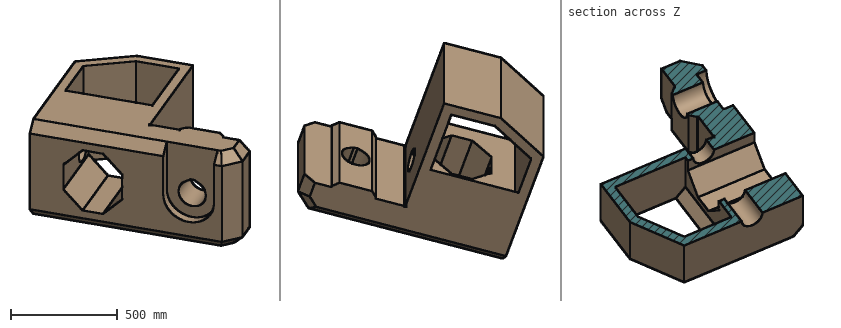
import cadquery as cq
import math

length = 1029.0
depth = 787.0
height = 508.0
mid_height = height / 2
edge_chamfer = 51.0

tower_width = 534.0
arm_depth = 179.0
relief_radius = 5.0
corner_cut = 76.0
slant_width = 255.0
slant_angle = math.radians(30)
wall = 51.0

pocket_front = 359.0
ramp_size = 51.0

window_left = 167.0
window_width = 292.0
window_height = 322.0
window_corner = 96.0

bolt_x = 788.0
bolt_diameter = 135.0
recess_width = 252.0
recess_depth = edge_chamfer
key_width = 217.0
key_depth = 35.0
key_bevel = 29.0

cross_y = 274.0
cross_diameter = 110.0

roof_angle = math.radians(30)
roof_rise = 5.0


def body():
    """L-shaped block with bevelled front and arm end edges."""
    slant_rise = slant_width * math.tan(slant_angle)
    tower = (
        cq.Workplane("XY")
        .polyline([
            (0, 0),
            (tower_width, 0),
            (tower_width, depth),
            (slant_width, depth),
            (0, depth - slant_rise),
        ])
        .close()
        .extrude(height)
    )
    arm = (
        cq.Workplane("XY")
        .polyline([
            (0, 0),
            (length - corner_cut, 0),
            (length, corner_cut),
            (length, arm_depth),
            (0, arm_depth),
        ])
        .close()
        .extrude(height)
    )
    block = tower.union(arm)
    end_bevel = cq.selectors.DirectionNthSelector(cq.Vector(1, -1, 0), -1)
    bevel_faces = block.faces("<Y or >X").add(block.faces(end_bevel))
    return bevel_faces.edges("#Z").chamfer(edge_chamfer)


def pocket():
    """Vertical opening that keeps an even wall, less the ramp on its front side."""
    right = tower_width - wall
    back = depth - wall
    shoulder_x = slant_width + wall * math.tan(slant_angle / 2)
    shoulder_y = back - (shoulder_x - wall) * math.tan(slant_angle)
    opening = (
        cq.Workplane("XY")
        .polyline([
            (wall, pocket_front),
            (right, pocket_front),
            (right, back),
            (shoulder_x, back),
            (wall, shoulder_y),
        ])
        .close()
        .extrude(height)
    )
    ramp = (
        cq.Workplane("YZ", origin=(wall, pocket_front, 0))
        .polyline([(0, 0), (ramp_size, 0), (0, ramp_size)])
        .close()
        .extrude(right - wall)
    )
    return opening.cut(ramp)


def window():
    """Tall octagonal passage from the front face to the pocket."""
    return (
        cq.Workplane("XY")
        .box(window_width, pocket_front + ramp_size, window_height, centered=(False, False, True))
        .edges("|Y")
        .chamfer(window_corner)
        .translate((window_left, 0, mid_height))
    )


def roofed_hole(plane, diameter, reach):
    """Round hole topped by two tangent slopes and a short flat."""
    radius = diameter / 2
    side_x = radius * math.sin(roof_angle)
    side_z = radius * math.cos(roof_angle)
    flat_z = radius + roof_rise
    flat_half = side_x - (flat_z - side_z) / math.tan(roof_angle)
    return (
        cq.Workplane(plane)
        .moveTo(-side_x, side_z)
        .threePointArc((0, -radius), (side_x, side_z))
        .lineTo(flat_half, flat_z)
        .lineTo(-flat_half, flat_z)
        .close()
        .extrude(reach)
    )


def recess():
    """Round-bottomed slot in the arm's front face, open at the top."""
    radius = recess_width / 2
    return (
        cq.Workplane("XZ", origin=(bolt_x, recess_depth, mid_height))
        .moveTo(-radius, height)
        .lineTo(-radius, 0)
        .threePointArc((0, -radius), (radius, 0))
        .lineTo(radius, height)
        .close()
        .extrude(recess_depth)
    )


def key():
    """Bevelled full-height rib on the back of the arm."""
    half = key_width / 2
    return (
        cq.Workplane("XY", origin=(bolt_x, arm_depth, 0))
        .polyline([
            (-half, 0),
            (half, 0),
            (half, key_depth - key_bevel),
            (half - key_bevel, key_depth),
            (key_bevel - half, key_depth),
            (-half, key_depth - key_bevel),
        ])
        .close()
        .extrude(height)
    )


def corner_relief():
    """Vertical groove in the inner corner of the L."""
    return (
        cq.Workplane("XY")
        .center(tower_width, arm_depth)
        .circle(relief_radius)
        .extrude(height)
    )


arm_back = arm_depth + key_depth
bolt_hole = roofed_hole("XZ", bolt_diameter, -arm_back).translate((bolt_x, 0, mid_height))
cross_hole = roofed_hole("YZ", cross_diameter, tower_width).translate((0, cross_y, mid_height))

result = body().union(key())
for opening in (pocket(), window(), recess(), bolt_hole, cross_hole, corner_relief()):
    result = result.cut(opening)